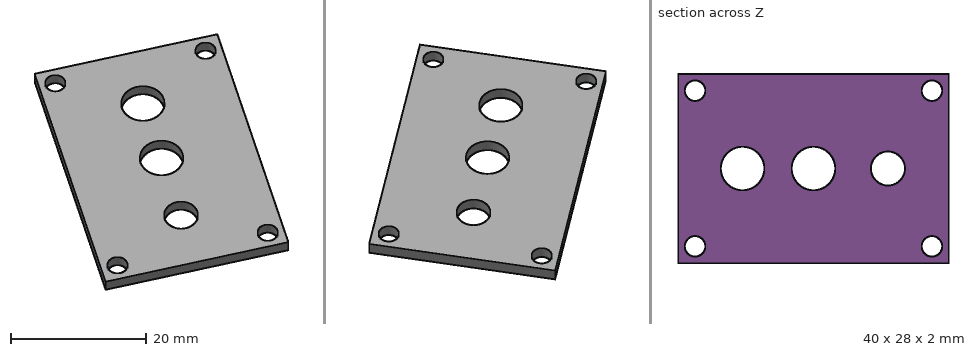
import cadquery as cq

length = 40.0
width = 28.0
thickness = 2.0

mount_diameter = 3.0
mount_spacing_x = 35.0
mount_spacing_y = 23.0

large_diameter = 6.4
small_diameter = 5.0
left_hole_offset = 10.5
right_hole_offset = 11.0

plate = cq.Workplane("XY").box(length, width, thickness)

plate = (
    plate.faces(">Z").workplane()
    .rarray(mount_spacing_x, mount_spacing_y, 2, 2)
    .hole(mount_diameter)
)

plate = (
    plate.faces(">Z").workplane(origin=(0, 0, 0))
    .pushPoints([(-left_hole_offset, 0), (0, 0)])
    .hole(large_diameter)
)

result = (
    plate.faces(">Z").workplane(origin=(0, 0, 0))
    .center(right_hole_offset, 0)
    .hole(small_diameter)
)